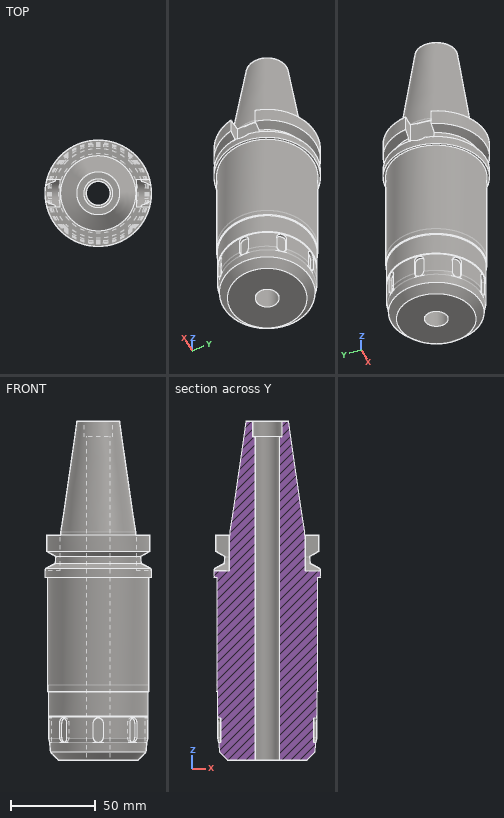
import cadquery as cq
import math


gauge_radius = 44.45 / 2
taper_length = 65.4
taper_ratio = 7 / 24
taper_top_radius = gauge_radius - taper_length * taper_ratio / 2

flange_radius = 63 / 2
flange_top = -2.0
flange_bottom = -27.0
groove_center = -16.6
groove_radius = 53 / 2
groove_floor_width = 4.2
groove_side_angle = 30
groove_side_height = (flange_radius - groove_radius) * math.tan(math.radians(groove_side_angle))
groove_floor_top = groove_center + groove_floor_width / 2
groove_floor_bottom = groove_center - groove_floor_width / 2

key_slot_width = 16.1
key_slot_floor = 22.5
key_slot_bottom = -22.9

gauge_length = 135.0
body_radius = 60 / 2
body_taper_start = -90.6
body_bottom = -94.2
body_end_radius = 29.9
body_end_bevel_height = 0.5

nut_radius = 29.5
nut_bottom = -122.0
nut_end_radius = 28.8
nut_bevel_height = 2.4
nose_lower_radius = 28.3
nose_chamfer = 4.8
nose_bottom = -gauge_length

parting_groove_center = -109.2
parting_groove_width = 0.6
parting_groove_depth = 0.3

wrench_slot_count = 8
wrench_slot_width = 6.0
wrench_slot_top = -110.0
wrench_slot_bottom = -124.4
wrench_slot_depth = 2.0

pilot_radius = 17 / 2
pilot_depth = 9.2
bore_radius = 14 / 2


def turned_body():
    """Solid of revolution: taper, flange, body and nut."""
    parting_top = parting_groove_center + parting_groove_width / 2
    parting_bottom = parting_groove_center - parting_groove_width / 2
    outline = [
        (0, taper_length),
        (taper_top_radius, taper_length),
        (gauge_radius, 0),
        (gauge_radius, flange_top),
        (flange_radius, flange_top),
        (flange_radius, groove_floor_top + groove_side_height),
        (groove_radius, groove_floor_top),
        (groove_radius, groove_floor_bottom),
        (flange_radius, groove_floor_bottom - groove_side_height),
        (flange_radius, flange_bottom),
        (body_radius, flange_bottom),
        (body_radius, body_taper_start),
        (body_end_radius, body_bottom),
        (nut_radius, body_bottom - body_end_bevel_height),
        (nut_radius, parting_top),
        (nut_radius - parting_groove_depth, parting_groove_center),
        (nut_radius, parting_bottom),
        (nut_radius, nut_bottom),
        (nut_end_radius, nut_bottom - nut_bevel_height),
        (nose_lower_radius, nose_bottom + nose_chamfer),
        (nose_lower_radius - nose_chamfer, nose_bottom),
        (0, nose_bottom),
    ]
    return cq.Workplane("YZ").polyline(outline).close().revolve(360, (0, 0), (0, 1))


def key_slot(side):
    """Round-bottomed drive slot on the +X (side = 1) or -X (side = -1) flank."""
    half_width = key_slot_width / 2
    arc_center = key_slot_bottom + half_width
    slot_depth = flange_radius - key_slot_floor
    return (
        cq.Workplane("YZ", origin=(side * key_slot_floor, 0, 0))
        .moveTo(-half_width, flange_top)
        .lineTo(-half_width, arc_center)
        .threePointArc((0, key_slot_bottom), (half_width, arc_center))
        .lineTo(half_width, flange_top)
        .close()
        .extrude(side * slot_depth)
    )


def wrench_slot(angle):
    """Flat-floored upright slot at the given angle about the axis."""
    length = wrench_slot_top - wrench_slot_bottom
    middle = (wrench_slot_top + wrench_slot_bottom) / 2
    return (
        cq.Workplane("YZ", origin=(nut_radius - wrench_slot_depth, 0, middle))
        .slot2D(length, wrench_slot_width, 90)
        .extrude(2 * wrench_slot_depth)
        .rotate((0, 0, 0), (0, 0, 1), angle)
    )


def stud_bore():
    """Through bore with a wider pilot at the small end of the taper."""
    top_plane = cq.Workplane("XY", origin=(0, 0, taper_length))
    through = top_plane.circle(bore_radius).extrude(nose_bottom - taper_length)
    pilot = top_plane.circle(pilot_radius).extrude(-pilot_depth)
    return through.union(pilot)


result = turned_body().cut(stud_bore())

for side in (1, -1):
    result = result.cut(key_slot(side))

for index in range(wrench_slot_count):
    result = result.cut(wrench_slot(index * 360 / wrench_slot_count))